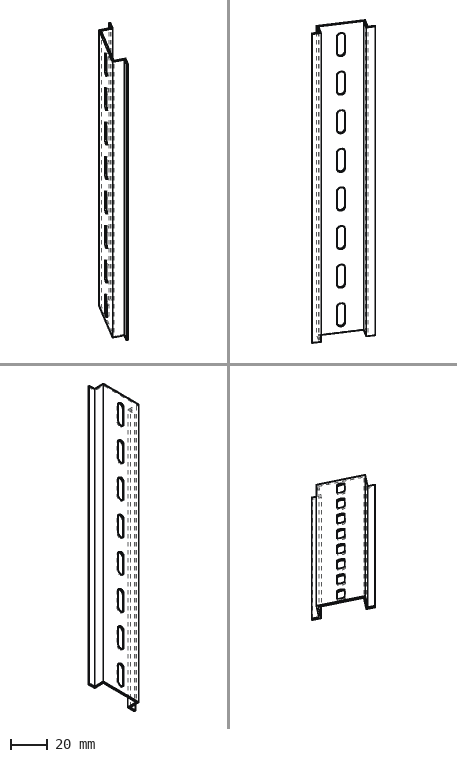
import cadquery as cq

length = 200.0
rail_width = 35.0
rail_depth = 7.5
sheet = 1.0

channel_width = 27.0
channel_inner_width = channel_width - 2 * sheet

slot_count = 8
slot_pitch = length / slot_count
slot_length = 15.0
slot_width = 4.5
slot_end_margin = 4.0


def box(width, depth, front_y):
    """Full-length block centred on X, starting at front_y and reaching towards +Y."""
    return (
        cq.Workplane("XY")
        .box(width, depth, length, centered=(True, False, False))
        .translate((0, front_y, 0))
    )


def hat_section():
    """Floor, two side walls and two outward flanges of constant thickness."""
    channel = box(channel_width, rail_depth, 0)
    flanges = box(rail_width, sheet, rail_depth - sheet)
    return channel.union(flanges).cut(box(channel_inner_width, rail_depth, sheet))


def slot_cutters():
    """Round-ended slots, evenly spaced upwards from the bottom end."""
    first_centre = slot_end_margin + slot_length / 2
    slot_centres = [(0, first_centre + slot_pitch * i) for i in range(slot_count)]
    return (
        cq.Workplane("XZ")
        .pushPoints(slot_centres)
        .slot2D(slot_length, slot_width, 90)
        .extrude(-sheet)
    )


result = hat_section().cut(slot_cutters())